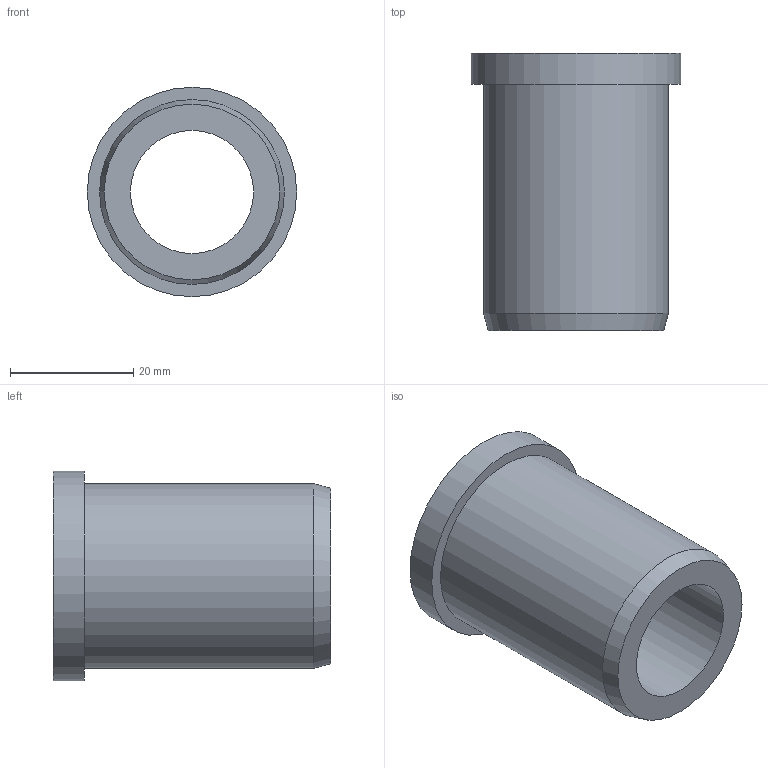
import cadquery as cq
import math

bore_diameter = 20.0
body_diameter = 30.0
flange_diameter = 34.0
flange_thickness = 5.0
total_length = 45.0

taper_angle = 15.0
taper_depth = 0.75
taper_length = taper_depth / math.tan(math.radians(taper_angle))

bore_radius = bore_diameter / 2
body_radius = body_diameter / 2
flange_radius = flange_diameter / 2

seat_y = 0.0
flange_end_y = seat_y + flange_thickness
free_end_y = flange_end_y - total_length
taper_start_y = free_end_y + taper_length


def make_bushing():
    """Revolve the wall section, bore included, about the Y axis."""
    section = (
        cq.Workplane("XY")
        .moveTo(bore_radius, free_end_y)
        .lineTo(body_radius - taper_depth, free_end_y)
        .lineTo(body_radius, taper_start_y)
        .lineTo(body_radius, seat_y)
        .lineTo(flange_radius, seat_y)
        .lineTo(flange_radius, flange_end_y)
        .lineTo(bore_radius, flange_end_y)
        .close()
    )
    return section.revolve(360, (0, 0, 0), (0, 1, 0))


result = make_bushing()